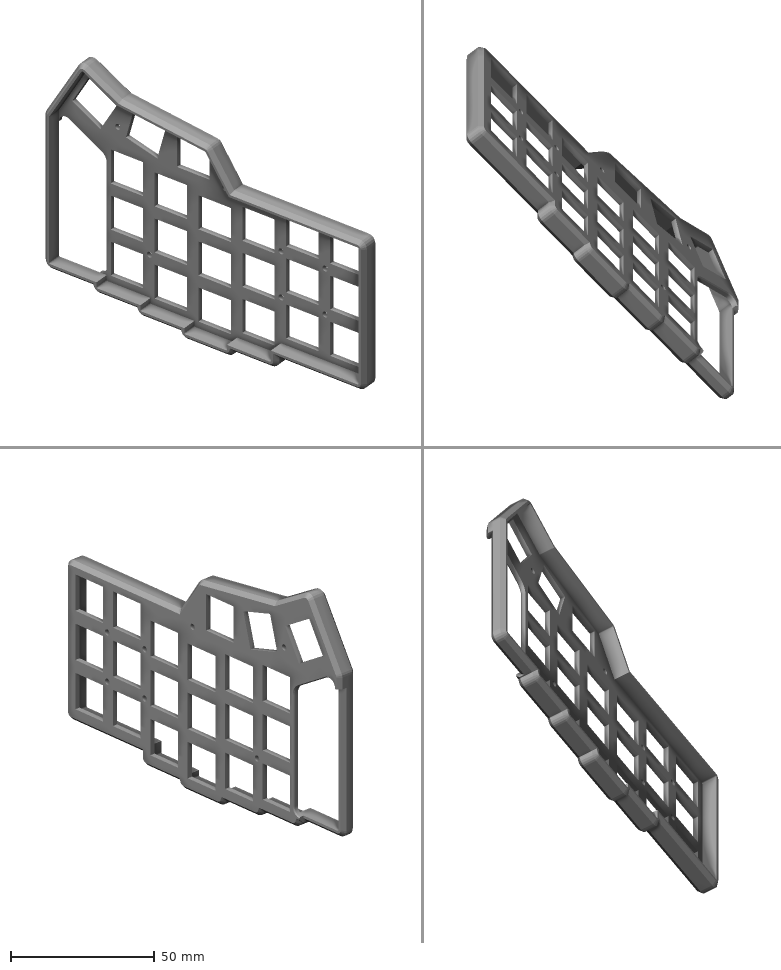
import cadquery as cq
import math

WIDTH = 139.15
HEIGHT = 96.8
DEPTH = 8.0
BACK = DEPTH / 2
RIGHT = WIDTH / 2
TOP = HEIGHT / 2

PLATE_THICKNESS = 2.0
CHAMFER = 1.5
CLEARANCE = 0.5
WALL = 2.5
WALL_OFFSET = CLEARANCE + WALL

BASE_RIGHT = RIGHT - WALL_OFFSET
BASE_LEFT = -BASE_RIGHT
BASE_BOTTOM = WALL_OFFSET - TOP
LEFT_CORNER_Z = 21.45
APEX_X = -52.55
THUMB_TILT = 30.0
THUMB_CORNER = (-37.35, 36.9)
THUMB_END = (0.4, 32.15)
SHOULDER_X = 10.55

FACET_ANGLE = 18.0
APEX_LEAN = (90 - THUMB_TILT) % FACET_ANGLE
BASE_TOP = TOP - WALL_OFFSET * math.cos(math.radians(APEX_LEAN))

PITCH = 19.0
COLUMNS = 6
ROWS = 3
KEY_HOLE = 14.0
KEY_SHIFT = 0.25
NEAR_MARGIN = 1.25
STAGGER = PITCH / 8
COLUMN_RISE = [2, 1, 0, 1, 3, 3]

THUMB_KEYS = [(-9.0, 24.1, 0), (-29.5, 26.0, -15), (-51.75, 29.95, -THUMB_TILT)]

SCREW_DIAMETER = 2.3
SCREW_SHIFT = 0.6
SCREW_COLUMNS = (4, 5)
SCREW_ROWS = (1, 2)
LONE_SCREWS = [(-41.6, 24.1), (4.85, 16.1), (-27.85, -23.5)]

OPENING_CORNER_Z = 22.1
OPENING_RADIUS = 3.0
OPENING_TOP_RADIUS = 5.0
OPENING_CHAMFER = 0.4


def column_x(column):
    """Centre X of a column's key cells."""
    return BASE_RIGHT - PITCH * (COLUMNS - column - 0.5)


def column_bottom(column):
    """Lower Z limit of a column's key cells."""
    return BASE_BOTTOM + STAGGER * COLUMN_RISE[column]


def column_left(column):
    """Left side of a column in the base outline."""
    return column_x(column) + KEY_SHIFT - KEY_HOLE / 2 - NEAR_MARGIN


def key_z(column, row):
    """Centre Z of a key cell, rows counted from the bottom."""
    return column_bottom(column) + PITCH * (row + 0.5)


LEDGE_Z = column_bottom(COLUMNS - 1)
INNER_LEFT = BASE_LEFT - CLEARANCE
INNER_BOTTOM = LEDGE_Z - CLEARANCE
OPENING_RIGHT = column_left(0) - CLEARANCE
OPENING_SLOPE = math.tan(math.radians(THUMB_TILT))


def plane_at(y):
    """XZ sketch plane at depth y; extrusions run toward -Y."""
    return cq.Workplane("XZ", origin=(0, y, 0))


def base_outline():
    """Corners of the key area that the wall follows at a constant distance."""
    shoulder_z = key_z(COLUMNS - 1, ROWS - 1) - KEY_SHIFT + KEY_HOLE / 2 + NEAR_MARGIN
    points = [
        (BASE_LEFT, LEDGE_Z),
        (BASE_LEFT, LEFT_CORNER_Z),
        (APEX_X, BASE_TOP),
        THUMB_CORNER,
        THUMB_END,
        (SHOULDER_X, shoulder_z),
        (BASE_RIGHT, shoulder_z),
        (BASE_RIGHT, LEDGE_Z),
    ]
    for column in range(COLUMNS - 2, -1, -1):
        previous_z = points[-1][1]
        step_z = column_bottom(column)
        if step_z < previous_z:
            step_x = column_x(column) + PITCH / 2
        else:
            step_x = column_left(column + 1)
        if step_z != previous_z:
            points += [(step_x, previous_z), (step_x, step_z)]
    points += [(column_left(0), points[-1][1]), (column_left(0), LEDGE_Z)]
    return points


def edge_facets(edge):
    """The edge itself if straight, otherwise equal chords along its arc."""
    if edge.geomType() != "CIRCLE":
        return [edge]
    turn = math.degrees(edge.Length() / edge.radius())
    count = math.ceil(round(turn / FACET_ANGLE, 3))
    ends = [edge.positionAt(i / count) for i in range(count + 1)]
    return [cq.Edge.makeLine(start, end) for start, end in zip(ends, ends[1:])]


def offset_block(distance, back, front):
    """Base outline grown by a distance, filling from depth back to depth front."""
    rounded = plane_at(back).polyline(base_outline()).close().offset2D(distance, "arc")
    edges = []
    for edge in rounded.val().Edges():
        edges += edge_facets(edge)
    outline = cq.Wire.assembleEdges(edges)
    return plane_at(back).add(outline).toPending().extrude(back - front)


def outer_block(back):
    """Outside of the case with chamfered back and front rims."""
    block = offset_block(WALL_OFFSET, back, -BACK)
    return block.faces("<Y or >Y").edges().chamfer(CHAMFER)


def opening_block():
    """Opening beside the keys, with a slanted top and three rounded corners."""
    right_z = OPENING_CORNER_Z - (OPENING_RIGHT - INNER_LEFT) * OPENING_SLOPE
    corners = [
        (INNER_LEFT, INNER_BOTTOM),
        (INNER_LEFT, OPENING_CORNER_Z),
        (OPENING_RIGHT, right_z),
        (OPENING_RIGHT, INNER_BOTTOM),
    ]
    block = plane_at(BACK).polyline(corners).close().extrude(PLATE_THICKNESS)
    block = block.edges("|Y").edges(">X").edges(">Z").fillet(OPENING_TOP_RADIUS)
    block = block.edges("|Y").edges(">X").edges("<Z").fillet(OPENING_RADIUS)
    block = block.edges("|Y").edges("<X").edges(">Z").fillet(OPENING_RADIUS)
    outline = block.faces(">Y").val().outerWire().translate(cq.Vector(0, -OPENING_CHAMFER, 0))
    wide_outline = outline.offset2D(OPENING_CHAMFER)[0].translate(cq.Vector(0, OPENING_CHAMFER, 0))
    rim = cq.Solid.makeLoft([outline, wide_outline], True)
    return block.union(cq.Workplane(rim))


def low_wall_zone():
    """Stretch of the left and bottom wall that stops at the front of the plate."""
    half_angle = math.radians((90 - THUMB_TILT) / 2)
    zone_top = OPENING_CORNER_Z - OPENING_RADIUS / math.tan(half_angle)
    zone_right = OPENING_RIGHT - OPENING_RADIUS
    corners = [
        (-RIGHT - WALL, -TOP),
        (-RIGHT - WALL, zone_top),
        (INNER_LEFT, zone_top),
        (INNER_LEFT, INNER_BOTTOM),
        (zone_right, INNER_BOTTOM),
        (zone_right, -TOP),
    ]
    return plane_at(BACK).polyline(corners).close().extrude(DEPTH)


def switch_holes():
    """Square holes for the key grid and the thumb keys."""
    places = []
    for column in range(COLUMNS):
        for row in range(ROWS):
            places.append((column_x(column) + KEY_SHIFT, key_z(column, row) - KEY_SHIFT, 0))
    holes = cq.Workplane("XZ")
    for x, z, turn in places + THUMB_KEYS:
        hole = cq.Workplane("XZ").rect(KEY_HOLE, KEY_HOLE).extrude(DEPTH, both=True)
        hole = hole.rotate((0, 0, 0), (0, 1, 0), -turn).translate((x, 0, z))
        holes = holes.add(hole)
    return holes.combine()


def screw_holes():
    """Round holes between the right-hand keys and near the thumb keys."""
    places = list(LONE_SCREWS)
    for column in SCREW_COLUMNS:
        for row in SCREW_ROWS:
            x = column_x(column) - PITCH / 2 + SCREW_SHIFT
            z = key_z(column, row) - PITCH / 2 - SCREW_SHIFT
            places.append((x, z))
    return plane_at(BACK).pushPoints(places).circle(SCREW_DIAMETER / 2).extrude(DEPTH)


zone = low_wall_zone()
plate_front = BACK - PLATE_THICKNESS
case = outer_block(BACK).cut(zone).union(outer_block(plate_front).intersect(zone))
case = case.cut(offset_block(CLEARANCE, plate_front, -BACK))
case = case.cut(opening_block())
result = case.cut(switch_holes()).cut(screw_holes())